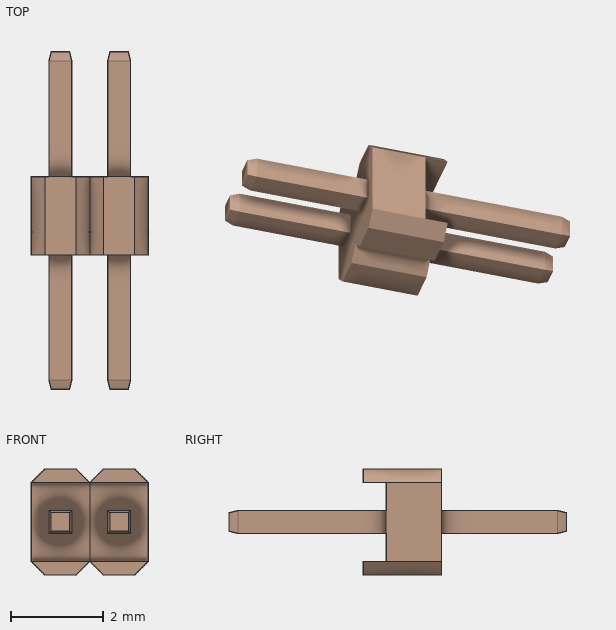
import cadquery as cq

pitch = 1.27
positions = 2

cell_height = 2.3
corner_chamfer = 0.3
cell_depth = 1.7
recess_depth = 0.5
recess_height = cell_height - 2 * corner_chamfer

pin_width = 0.5
tip_width = 0.4
tip_length = 0.2
pin_front_reach = 2.9
pin_back_reach = 2.7

cell_front = -cell_depth / 2
cell_back = cell_depth / 2
pin_front = cell_front - pin_front_reach
pin_back = cell_back + pin_back_reach


def make_cell():
    """Octagonal block with a full-width recess in its -Y face."""
    block = (
        cq.Workplane("XY")
        .box(pitch, cell_depth, cell_height)
        .edges("|Y")
        .chamfer(corner_chamfer)
    )
    recess = (
        cq.Workplane("XY")
        .box(pitch, recess_depth, recess_height)
        .translate((0, cell_front + recess_depth / 2, 0))
    )
    return block.cut(recess)


def make_tip(base_y, end_y):
    """Square frustum that narrows from the pin shank to the pin end."""
    base = cq.Workplane("XZ", origin=(0, base_y, 0)).rect(pin_width, pin_width)
    return base.workplane(offset=base_y - end_y).rect(tip_width, tip_width).loft(ruled=True)


def make_pin():
    """Straight square shank with a tapered tip at each end."""
    shank_front = pin_front + tip_length
    shank_back = pin_back - tip_length
    shank = (
        cq.Workplane("XZ", origin=(0, shank_back, 0))
        .rect(pin_width, pin_width)
        .extrude(shank_back - shank_front)
    )
    return shank.union(make_tip(shank_front, pin_front)).union(make_tip(shank_back, pin_back))


def make_header_position(x):
    """One insulator cell and its pin as a single solid, centred at x."""
    return make_cell().union(make_pin()).translate((x, 0, 0))


first_x = -pitch * (positions - 1) / 2
header_positions = [make_header_position(first_x + i * pitch) for i in range(positions)]

result = cq.Compound.makeCompound([position.solids().val() for position in header_positions])